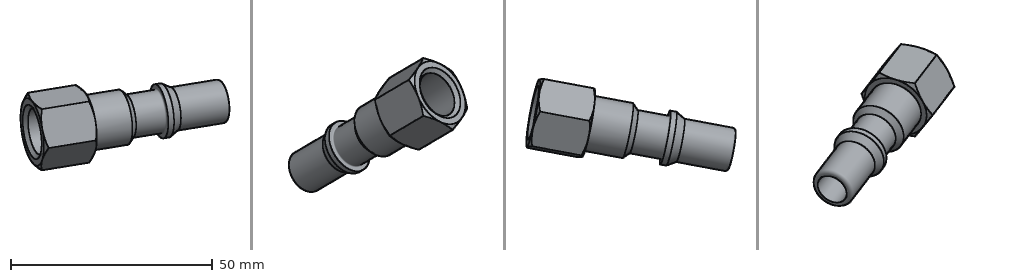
import cadquery as cq
import math

length = 50.5
hex_end = 14.05
body_end = 24.0
body_cone_end = 25.5
collar_start = 33.55
collar_end = 35.05
collar_cone_end = 37.35

across_flats = 17.0
body_radius = 14.0 / 2
stem_radius = 11.0 / 2
collar_radius = 13.7 / 2
tip_round = 0.95
collar_root_round = 0.3

bore_radius = 8.0 / 2
socket_radius = 11.6 / 2
socket_mouth_radius = 13.7 / 2
socket_depth = 11.1
socket_cone_angle = 59.0
hex_chamfer_angle = 30.0

across_corners = across_flats / math.cos(math.radians(30))
mouth_chamfer = socket_mouth_radius - socket_radius
socket_cone_depth = (socket_radius - bore_radius) / math.tan(math.radians(socket_cone_angle))


def revolve_about_y(points):
    """Revolve a closed (radius, y) outline about the Y axis."""
    return cq.Workplane("XY").polyline(points).close().revolve(360, (0, 0, 0), (0, 1, 0))


def make_hexagon():
    """Hexagon with corners on +X and -X, chamfered at both ends."""
    prism = cq.Workplane("XZ").polygon(6, across_corners).extrude(-hex_end)
    flat_radius = across_flats / 2
    corner_radius = across_corners / 2
    drop = (corner_radius - flat_radius) * math.tan(math.radians(hex_chamfer_angle))
    envelope = revolve_about_y([
        (0, 0),
        (flat_radius, 0),
        (corner_radius, drop),
        (corner_radius, hex_end - drop),
        (flat_radius, hex_end),
        (0, hex_end),
    ])
    return prism.intersect(envelope)


def make_stem():
    """Stepped round stem with a rounded tip and a collar filleted at its root."""
    stem = revolve_about_y([
        (0, 0),
        (body_radius, 0),
        (body_radius, body_end),
        (stem_radius, body_cone_end),
        (stem_radius, collar_start),
        (collar_radius, collar_start),
        (collar_radius, collar_end),
        (stem_radius, collar_cone_end),
        (stem_radius, length),
        (0, length),
    ])
    stem = stem.faces(">Y").edges().fillet(tip_round)
    root_zone = cq.selectors.BoxSelector(
        (-collar_radius, collar_start - collar_root_round, -stem_radius - collar_root_round),
        (collar_radius, collar_start + collar_root_round, stem_radius + collar_root_round),
        boundingbox=True,
    )
    return stem.edges("%CIRCLE").edges(root_zone).fillet(collar_root_round)


def make_bore():
    """Through bore opening into a drilled socket with a chamfered mouth."""
    return revolve_about_y([
        (0, 0),
        (socket_mouth_radius, 0),
        (socket_radius, mouth_chamfer),
        (socket_radius, socket_depth),
        (bore_radius, socket_depth + socket_cone_depth),
        (bore_radius, length),
        (0, length),
    ])


part = make_hexagon().union(make_stem()).cut(make_bore())
result = part.translate((0, -length / 2, 0))